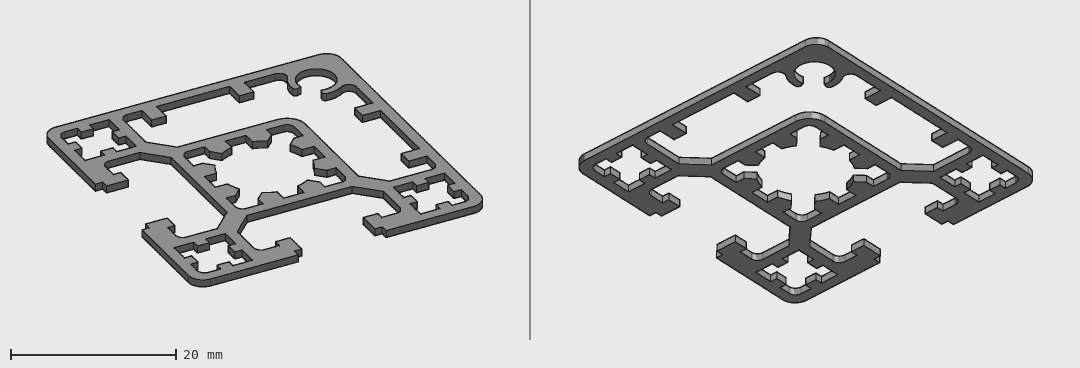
import cadquery as cq
import math

SIDE = 40
THICKNESS = 1.0
OUTER_RADIUS = 2
FILLET_RADIUS = 1.0
HALF = SIDE / 2

CELL_SIZE = 10
CELL_OPENING = 7.0
CELL_TAB_GAP = 5.0
CELL_TAB_WIDTH = 1.7
WALL = (CELL_SIZE - CELL_OPENING) / 2
CELL_CENTER = HALF - CELL_SIZE / 2
CELL_EDGE = HALF - CELL_SIZE

CORE_HALF = 9.0
CORE_OPENING_HALF = CORE_HALF - WALL
STRUT_OFFSET = 1.8

CORE_BORE_RADIUS = 6
TOOTH_NEAR = 1.4
TOOTH_FAR = 4.25
TOOTH_BEVEL_OFFSET = 2

SLOT_HALF = 5.0
LIP_WIDTH = 2
LIP_DEPTH = 4
LIP_STEP = 1.0
SLOT_FLANGE = 3.0

SCREW_BORE_DIAMETER = 5.0
SCREW_BORE_RADIUS = SCREW_BORE_DIAMETER / 2
SCREW_OUTER_RADIUS = CELL_OPENING / 2
ARM_END_ANGLE = -15
SYMMETRY_ANGLE = 135
ARM_TIP_RADIUS = 0.4


def prism(points):
    return cq.Workplane("XY").polyline(points).close().extrude(THICKNESS)


def block(x_min, x_max, y_min, y_max):
    return prism([(x_min, y_min), (x_max, y_min), (x_max, y_max), (x_min, y_max)])


def mirrored(shape):
    """Reflect across the profile's symmetry line y = -x."""
    return shape.mirror((1, 1, 0))


def with_mirror(shape):
    return shape.union(mirrored(shape))


def round_edge(shape, x, y, radius):
    """Round the upright edge nearest to (x, y)."""
    edge = cq.selectors.NearestToPointSelector((x, y, THICKNESS / 2))
    return shape.edges("|Z").edges(edge).fillet(radius)


def cell_void():
    """Opening of the upper right cell, with a tab in the middle of each side."""
    half = CELL_OPENING / 2
    void = cq.Workplane("XY").rect(CELL_OPENING, CELL_OPENING).extrude(THICKNESS)
    void = round_edge(void, half, half, FILLET_RADIUS)
    tab = block(CELL_TAB_GAP / 2, half, -CELL_TAB_WIDTH / 2, CELL_TAB_WIDTH / 2)
    for turn in range(4):
        void = void.cut(tab.rotate((0, 0, 0), (0, 0, 1), 90 * turn))
    return void


def core_void():
    """Opening of the core tube, with two pointed teeth on each side."""
    half = CORE_OPENING_HALF
    void = cq.Workplane("XY").rect(2 * half, 2 * half).extrude(THICKNESS)
    void = void.edges("|Z").fillet(FILLET_RADIUS)

    bevel_tip = TOOTH_FAR + TOOTH_BEVEL_OFFSET
    tooth = prism([
        (TOOTH_NEAR, half),
        (TOOTH_NEAR, TOOTH_NEAR + TOOTH_BEVEL_OFFSET),
        (TOOTH_FAR, bevel_tip),
        (TOOTH_FAR, half),
    ])
    tooth = tooth.cut(cq.Workplane("XY").circle(CORE_BORE_RADIUS).extrude(THICKNESS))
    teeth = tooth.union(tooth.mirror("YZ"))
    for turn in range(4):
        void = void.cut(teeth.rotate((0, 0, 0), (0, 0, 1), 90 * turn))
    return void


def slot_void():
    """T-slot open on the +X side."""
    floor_half = CORE_HALF - STRUT_OFFSET
    strut_end = CELL_EDGE + STRUT_OFFSET
    flange = HALF - SLOT_FLANGE
    void = prism([
        (CORE_HALF, -floor_half),
        (strut_end, -CELL_EDGE),
        (flange, -CELL_EDGE),
        (flange, CELL_EDGE),
        (strut_end, CELL_EDGE),
        (CORE_HALF, floor_half),
    ])
    for y in (-CELL_EDGE, CELL_EDGE):
        void = round_edge(void, flange, y, FILLET_RADIUS)

    lip_side = SLOT_HALF + LIP_WIDTH
    neck = block(flange, HALF, -SLOT_HALF, SLOT_HALF)
    lip = block(HALF - LIP_DEPTH, flange, SLOT_HALF, lip_side)
    void = void.cut(lip).cut(lip.mirror("XZ"))
    mouth_half = SLOT_HALF + LIP_STEP
    mouth = block(HALF - LIP_STEP, HALF, -mouth_half, mouth_half)
    return void.union(neck).union(mouth)


def chamber_void():
    """Large chamber in the upper left, including the open screw channel."""
    wall_face = HALF - WALL
    center_x = -CELL_CENTER
    center_y = CELL_CENTER

    def around_screw(radius, degrees):
        angle = math.radians(degrees)
        return (center_x + radius * math.cos(angle), center_y + radius * math.sin(angle))

    round_x = center_x + 2 * math.sqrt(SCREW_OUTER_RADIUS * FILLET_RADIUS)
    round_y = wall_face - FILLET_RADIUS
    touch_angle = math.degrees(math.atan2(round_y - center_y, round_x - center_x))
    middle_angle = (90 + 180 + touch_angle) / 2
    round_middle = (
        round_x + FILLET_RADIUS * math.cos(math.radians(middle_angle)),
        round_y + FILLET_RADIUS * math.sin(math.radians(middle_angle)),
    )

    half_void = (
        cq.Workplane("XY")
        .moveTo(*around_screw(SCREW_BORE_RADIUS, SYMMETRY_ANGLE))
        .threePointArc(
            around_screw(SCREW_BORE_RADIUS, (SYMMETRY_ANGLE + ARM_END_ANGLE) / 2),
            around_screw(SCREW_BORE_RADIUS, ARM_END_ANGLE),
        )
        .lineTo(*around_screw(SCREW_OUTER_RADIUS, ARM_END_ANGLE))
        .threePointArc(
            around_screw(SCREW_OUTER_RADIUS, (ARM_END_ANGLE + touch_angle) / 2),
            around_screw(SCREW_OUTER_RADIUS, touch_angle),
        )
        .threePointArc(round_middle, (round_x, wall_face))
        .lineTo(CELL_EDGE, wall_face)
        .lineTo(CELL_EDGE, CELL_EDGE + STRUT_OFFSET)
        .lineTo(CORE_HALF - STRUT_OFFSET, CORE_HALF)
        .lineTo(-CORE_HALF, CORE_HALF)
        .close()
        .extrude(THICKNESS)
    )
    half_void = round_edge(half_void, CELL_EDGE, wall_face, FILLET_RADIUS)
    half_void = round_edge(
        half_void, *around_screw(SCREW_OUTER_RADIUS, ARM_END_ANGLE), ARM_TIP_RADIUS
    )
    lip_side = SLOT_HALF + LIP_WIDTH
    lip = block(SLOT_HALF, lip_side, HALF - LIP_DEPTH, wall_face)
    half_void = half_void.cut(lip).cut(lip.mirror("YZ"))
    void = with_mirror(half_void)
    return round_edge(void, -CORE_HALF, CORE_HALF, FILLET_RADIUS + WALL)


plate = cq.Workplane("XY").rect(SIDE, SIDE).extrude(THICKNESS).edges("|Z").fillet(OUTER_RADIUS)

upper_cell = cell_void().translate((CELL_CENTER, CELL_CENTER, 0))
result = plate.cut(with_mirror(upper_cell))
result = result.cut(upper_cell.mirror("XZ"))
result = result.cut(core_void())
result = result.cut(with_mirror(slot_void()))
result = result.cut(chamber_void())